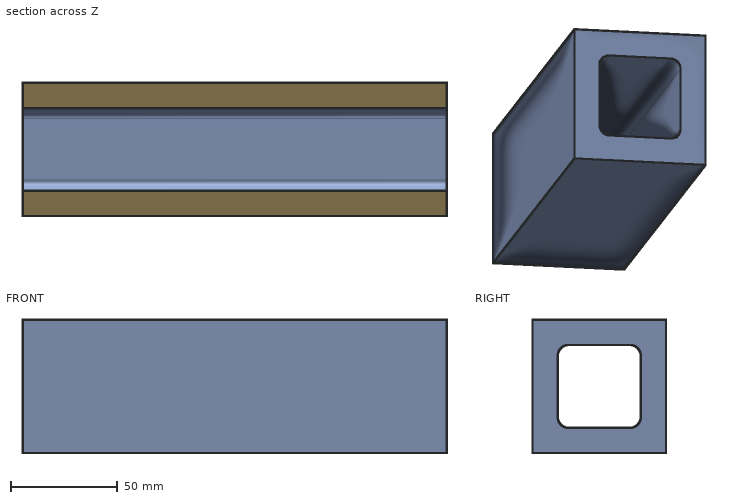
import cadquery as cq

length = 200.0
outer_width = 63.0
wall_thickness = 12.0
bore_corner_radius = 5.0

bore_width = outer_width - 2 * wall_thickness


def make_square_bar(width):
    """Square bar of the full tube length, centred on the origin."""
    return cq.Workplane("XY").box(length, width, width)


outer_bar = make_square_bar(outer_width)
bore = make_square_bar(bore_width).edges("|X").fillet(bore_corner_radius)

result = outer_bar.cut(bore)